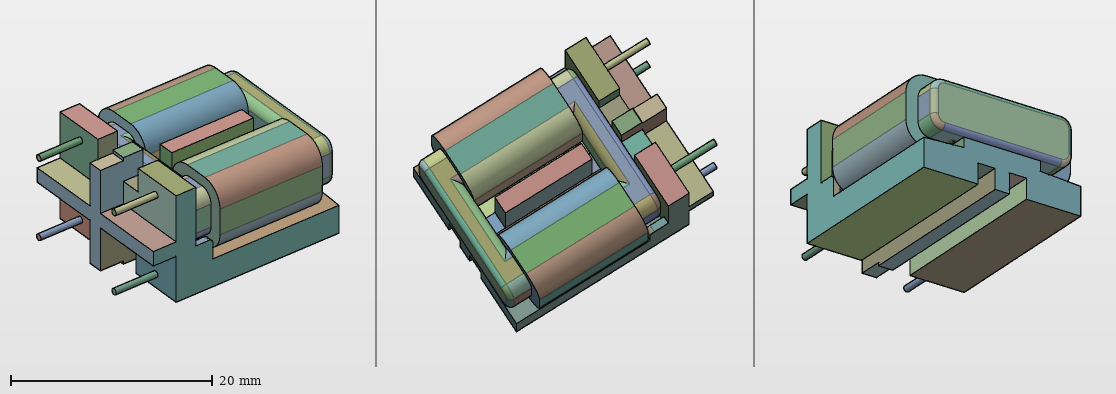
import cadquery as cq
import math


carrier_half_width = 9.49
carrier_height = 12.72
carrier_rear_y = 25.62
wall_front_y = 5.22
wall_rear_y = 7.68
notch_half_width = 3.28
notch_floor_z = 9.9
channel_half_width = 2.92
channel_height = 2.35

floor_edge_z = 3.33
ridge_z = 4.75
ridge_half_width = 0.95
cradle_foot_x = 4.63
cradle_foot_z = 3.6

post_width = 0.8
post_rear_y = 9.82
post_top_z = 5.75
post_radius = 0.5
rear_block_front_y = 23.58

divider_front_y = 11.22
divider_rear_y = 21.45
divider_top_z = 10.93

cross_front_y = 2.35
cross_thickness = 1.73
cross_inset = 0.35
pin_diameter = 0.72
pin_x = 6.15
pin_offset_z = 4.73

core_half_width = 8.48
core_rear_y = 25.85
core_height = 5.58
core_mid_z = 7.75
leg_width = 4.85
leg_radius = 1.42
core_end_radius = 0.6
bar_radius = 0.95
winding_length = 12.82
winding_side = 1.47
winding_height = 8.05
winding_radius = 2.48

core_mid_y = (wall_rear_y + core_rear_y) / 2
core_length = core_rear_y - wall_rear_y
leg_x = core_half_width - leg_width / 2
window_half_width = core_half_width - leg_width
winding_width = leg_width + 2 * winding_side
mid_z = carrier_height / 2
carrier_length = carrier_rear_y - wall_front_y


def box(x_range, y_range, z_range):
    """Box between the given limits along each axis."""
    (x0, x1), (y0, y1), (z0, z1) = x_range, y_range, z_range
    return cq.Workplane("XY").box(x1 - x0, y1 - y0, z1 - z0, centered=False).translate((x0, y0, z0))


def centred_box(half_width, y_range, z_range):
    """Box that is symmetric about X = 0."""
    return box((-half_width, half_width), y_range, z_range)


def cradle_arc_middle():
    """Middle point of the arc that leaves the floor slope tangentially and ends at the ridge."""
    run = cradle_foot_x - ridge_half_width
    rise = ridge_z - cradle_foot_z
    slope = math.atan2(cradle_foot_z - floor_edge_z, carrier_half_width - cradle_foot_x)
    half_turn = math.atan2(rise, run) - slope
    half_chord = math.hypot(run, rise) / 2
    reach = half_chord / math.cos(half_turn / 2)
    direction = slope + half_turn / 2
    return (cradle_foot_x - reach * math.cos(direction), cradle_foot_z + reach * math.sin(direction))


def make_bed():
    """Long bed with two concave cradles on top, meeting at the central ridge."""
    arc_x, arc_z = cradle_arc_middle()
    outline = (
        cq.Workplane("XZ", origin=(0, carrier_rear_y, 0))
        .moveTo(-carrier_half_width, 0)
        .lineTo(carrier_half_width, 0)
        .lineTo(carrier_half_width, floor_edge_z)
        .lineTo(cradle_foot_x, cradle_foot_z)
        .threePointArc((arc_x, arc_z), (ridge_half_width, ridge_z))
        .lineTo(-ridge_half_width, ridge_z)
        .threePointArc((-arc_x, arc_z), (-cradle_foot_x, cradle_foot_z))
        .lineTo(-carrier_half_width, floor_edge_z)
        .close()
    )
    return outline.extrude(carrier_length)


def make_post(side):
    """Corner post beside the core, with its upper rear edge rounded."""
    inner_x = side * (carrier_half_width - post_width)
    x_range = sorted((inner_x, side * carrier_half_width))
    post = box(x_range, (wall_front_y, post_rear_y), (0, post_top_z))
    return post.edges(">Y and >Z").fillet(post_radius)


def make_carrier():
    half_fin = cross_thickness / 2
    wall_y = (wall_front_y, wall_rear_y)
    cross_y = (cross_front_y, wall_front_y)

    carrier = make_bed()
    carrier = carrier.union(centred_box(carrier_half_width, wall_y, (0, carrier_height)))
    for side in (-1, 1):
        carrier = carrier.union(make_post(side))
    rear_block_y = (rear_block_front_y, carrier_rear_y)
    carrier = carrier.union(centred_box(cradle_foot_x, rear_block_y, (0, ridge_z)))
    divider_y = (divider_front_y, divider_rear_y)
    carrier = carrier.union(centred_box(ridge_half_width, divider_y, (0, divider_top_z)))

    for side in (-1, 1):
        notch_x = sorted((side * half_fin, side * notch_half_width))
        carrier = carrier.cut(box(notch_x, wall_y, (notch_floor_z, carrier_height)))
        channel_x = sorted((side * half_fin, side * channel_half_width))
        carrier = carrier.cut(box(channel_x, (wall_front_y, carrier_rear_y), (0, channel_height)))

    carrier = carrier.union(centred_box(half_fin, cross_y, (cross_inset, carrier_height - cross_inset)))
    carrier = carrier.union(centred_box(carrier_half_width, cross_y, (mid_z - half_fin, mid_z + half_fin)))

    pins = (
        cq.Workplane("XZ", origin=(0, wall_front_y, mid_z))
        .rect(2 * pin_x, 2 * pin_offset_z, forConstruction=True)
        .vertices()
        .circle(pin_diameter / 2)
        .extrude(wall_front_y)
    )
    return carrier.union(pins)


def flared_slot(plane, half_opening, radius, depth):
    """Slot through the core height whose walls flare out with a convex radius at both faces."""
    top = core_height / 2
    straight = top - radius
    throat = half_opening - radius
    bulge = radius * math.sqrt(0.5)
    arc_x = half_opening - bulge
    arc_z = straight + bulge
    return (
        cq.Workplane(plane, origin=(0, core_mid_y, core_mid_z))
        .moveTo(-half_opening, top)
        .lineTo(half_opening, top)
        .threePointArc((arc_x, arc_z), (throat, straight))
        .lineTo(throat, -straight)
        .threePointArc((arc_x, -arc_z), (half_opening, -top))
        .lineTo(-half_opening, -top)
        .threePointArc((-arc_x, -arc_z), (-throat, -straight))
        .lineTo(-throat, straight)
        .threePointArc((-arc_x, arc_z), (-half_opening, top))
        .close()
        .extrude(depth / 2, both=True)
    )


def make_wound_core():
    """Ring core with a winding on each leg."""
    core = (
        cq.Workplane("XY", origin=(0, core_mid_y, core_mid_z))
        .box(2 * core_half_width, core_length, core_height)
        .edges("|Y")
        .fillet(leg_radius)
        .faces("<Y or >Y")
        .edges()
        .fillet(core_end_radius)
    )

    across = flared_slot("XZ", window_half_width + leg_radius, leg_radius, core_length)
    along = flared_slot("YZ", winding_length / 2 + bar_radius, bar_radius, 2 * core_half_width)
    core = core.cut(across.intersect(along))

    for side in (-1, 1):
        winding = (
            cq.Workplane("XY", origin=(side * leg_x, core_mid_y, core_mid_z))
            .box(winding_width, winding_length, winding_height)
            .edges("|Y")
            .fillet(winding_radius)
        )
        core = core.union(winding)
    return core


carrier = make_carrier()
wound_core = make_wound_core()

result = cq.Compound.makeCompound([carrier.solids().val(), wound_core.solids().val()])